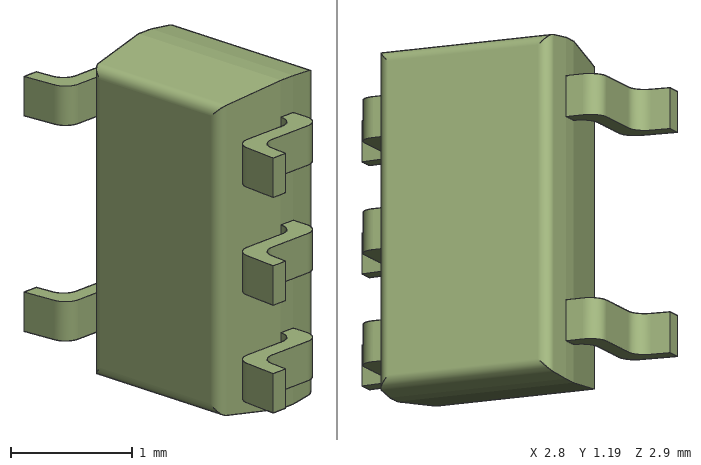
import cadquery as cq
import math


body_height = 2.9
body_width = 1.6
body_front_y = 0.087
body_back_y = 1.19
front_draft = 8.0
back_draft = 5.0
edge_radius = 0.1

lead_span = 2.8
lead_thickness = 0.15
lead_width = 0.348
lead_pitch = 0.95
lead_back_y = 0.893
shank_outer_x = 1.1
bend_radius = 0.145
foot_slope = 5.0
lead_embed = 0.145

band_front_y = lead_back_y - lead_thickness


def tapered_block(start_y, depth, draft):
    """Body half drafted inward from the band, with rounded end-face edges."""
    direction = math.copysign(1, depth)
    plane = cq.Plane(origin=(0, start_y, 0), xDir=(1, 0, 0), normal=(0, direction, 0))
    block = cq.Workplane(plane).rect(body_width, body_height).extrude(abs(depth), taper=draft)
    end_face = ">Y" if depth > 0 else "<Y"
    return block.faces(end_face).edges().fillet(edge_radius)


def make_body():
    band = (
        cq.Workplane("XZ", origin=(0, lead_back_y, 0))
        .rect(body_width, body_height)
        .extrude(lead_thickness)
    )
    front = tapered_block(band_front_y, body_front_y - band_front_y, front_draft)
    back = tapered_block(lead_back_y, body_back_y - lead_back_y, back_draft)
    return band.union(front).union(back)


def make_lead(z_center):
    """Lead on the +X side, bent from the body to its sloping foot."""
    root_x = body_width / 2 - lead_embed
    shank_inner_x = shank_outer_x - lead_thickness
    tip_x = lead_span / 2
    slope = math.tan(math.radians(foot_slope))
    foot_depth = lead_thickness / math.cos(math.radians(foot_slope))
    profile = [
        (root_x, lead_back_y),
        (shank_outer_x, lead_back_y),
        (shank_outer_x, foot_depth + slope * (tip_x - shank_outer_x)),
        (tip_x, foot_depth),
        (tip_x, 0),
        (shank_inner_x, slope * (tip_x - shank_inner_x)),
        (shank_inner_x, band_front_y),
        (root_x, band_front_y),
    ]
    lead = (
        cq.Workplane("XY", origin=(0, 0, z_center - lead_width / 2))
        .polyline(profile)
        .close()
        .extrude(lead_width)
    )
    bend_points = [profile[1], profile[2], profile[5], profile[6]]
    for x, y in bend_points:
        bend_edge = cq.selectors.NearestToPointSelector((x, y, z_center))
        lead = lead.edges("|Z").edges(bend_edge).fillet(bend_radius)
    return lead


result = make_body()
for position in (-1, 0, 1):
    result = result.union(make_lead(position * lead_pitch))
for position in (-1, 1):
    result = result.union(make_lead(position * lead_pitch).mirror("YZ"))